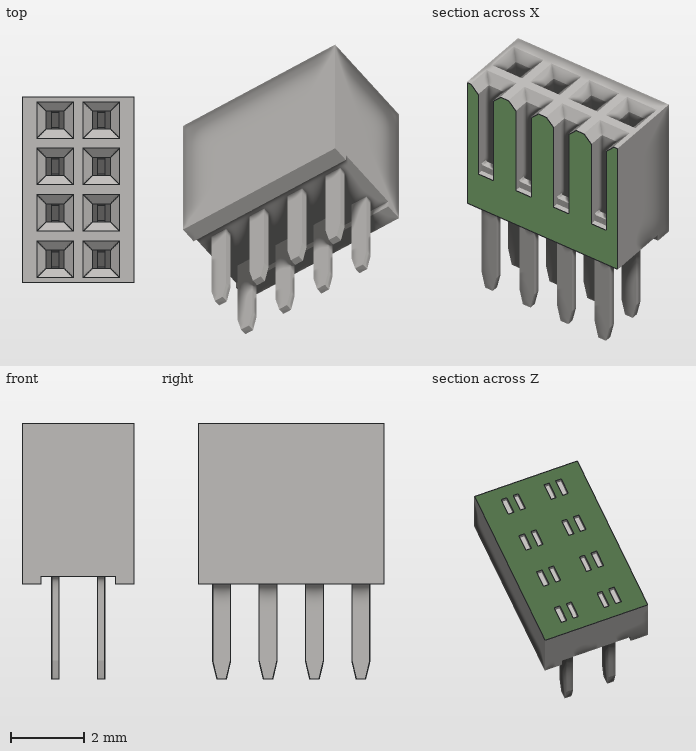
import cadquery as cq

BODY_WIDTH = 3.05
BODY_LENGTH = 5.08
TOTAL_HEIGHT = 7.0
PIN_PROTRUSION = 2.6
BODY_HEIGHT = TOTAL_HEIGHT - PIN_PROTRUSION
FOOT_WIDTH = 0.51
FOOT_HEIGHT = 0.2

COLUMNS = 2
ROWS = 4
PITCH = BODY_LENGTH / ROWS
PIN_COLUMN_PITCH = 1.25

MOUTH_SIZE = 1.0
BORE_SIZE = 0.5
FUNNEL_DEPTH = (MOUTH_SIZE - BORE_SIZE) / 2
BORE_DEPTH = 3.0

PIN_THICKNESS = 0.2
PIN_WIDTH = 0.5
PIN_TIP_WIDTH = 0.26
PIN_TIP_LENGTH = 0.5
PIN_RISE = 0.25
PIN_SEAT_WIDTH = 0.41
PIN_SEAT_DEPTH = (PIN_WIDTH - PIN_SEAT_WIDTH) / 2

FOOT_Z = PIN_PROTRUSION
FLOOR_Z = TOTAL_HEIGHT - BORE_DEPTH


def grid_points(column_pitch):
    """Centres of all contacts, symmetric about the Z axis."""
    return [
        ((column - (COLUMNS - 1) / 2) * column_pitch, (row - (ROWS - 1) / 2) * PITCH)
        for column in range(COLUMNS)
        for row in range(ROWS)
    ]


def make_housing():
    """Block with a channel along the middle of the underside, leaving two long feet."""
    block = cq.Workplane("XY").box(BODY_WIDTH, BODY_LENGTH, BODY_HEIGHT, centered=(True, True, False))
    channel = cq.Workplane("XY").box(
        BODY_WIDTH - 2 * FOOT_WIDTH, BODY_LENGTH, FOOT_HEIGHT, centered=(True, True, False)
    )
    return block.cut(channel).translate((0, 0, FOOT_Z))


def make_socket():
    """Cutter for one square socket with a tapered mouth."""
    bore = cq.Workplane("XY").workplane(offset=FLOOR_Z).rect(BORE_SIZE, BORE_SIZE).extrude(BORE_DEPTH)
    funnel = (
        cq.Workplane("XY")
        .workplane(offset=TOTAL_HEIGHT - FUNNEL_DEPTH)
        .rect(BORE_SIZE, BORE_SIZE)
        .workplane(offset=FUNNEL_DEPTH)
        .rect(MOUTH_SIZE, MOUTH_SIZE)
        .loft(ruled=True)
    )
    return bore.union(funnel)


def make_pin():
    """Flat pin with a tapered tip at Z = 0 and a hollowed head inside the socket."""
    top_z = FLOOR_Z + PIN_RISE
    return (
        cq.Workplane("YZ")
        .polyline(
            [
                (-PIN_TIP_WIDTH / 2, 0),
                (PIN_TIP_WIDTH / 2, 0),
                (PIN_WIDTH / 2, PIN_TIP_LENGTH),
                (PIN_WIDTH / 2, top_z),
                (PIN_SEAT_WIDTH / 2, top_z - PIN_SEAT_DEPTH),
                (-PIN_SEAT_WIDTH / 2, top_z - PIN_SEAT_DEPTH),
                (-PIN_WIDTH / 2, top_z),
                (-PIN_WIDTH / 2, PIN_TIP_LENGTH),
            ]
        )
        .close()
        .extrude(PIN_THICKNESS / 2, both=True)
    )


result = make_housing()
socket = make_socket()
for x, y in grid_points(PITCH):
    result = result.cut(socket.translate((x, y, 0)))
pin = make_pin()
for x, y in grid_points(PIN_COLUMN_PITCH):
    result = result.union(pin.translate((x, y, 0)))